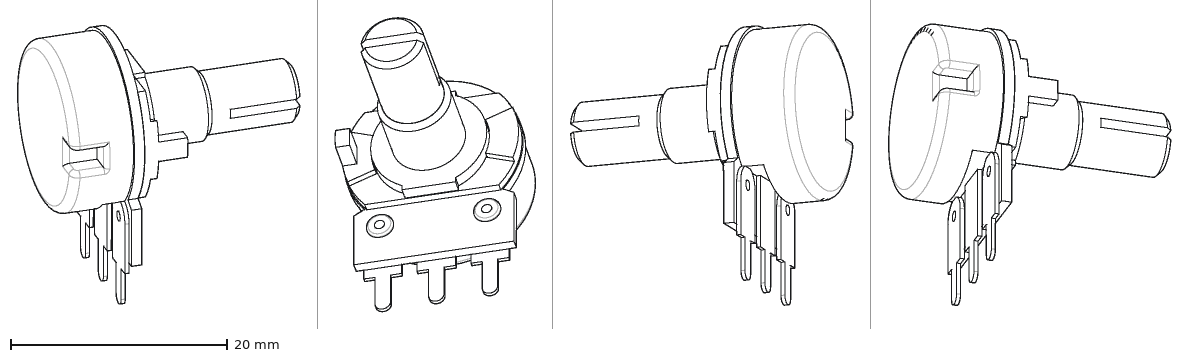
import cadquery as cq
import math


wafer_diameter = 17.0
wafer_radius = wafer_diameter / 2
wafer_thickness = 1.0
tab_half_width = 7.6
tab_bottom_z = -11.77
tab_shoulder_z = -5.97
tab_shoulder_angle = 30.0

cap_radius = 8.2
cap_depth = 5.97
cap_rim_fillet = 0.8
cap_relief_depth = 2.15
cap_relief_z = -6.0

notch_width = 2.12
notch_inner_x = 5.9
notch_depth = 3.2
notch_edge_fillet = 0.48
edge_margin = 0.25

plate_radius = 8.4
plate_thickness = 0.78
plate_half_height = 5.47
pad_inner_radius = 5.62
pad_side_angle = 20.8
pad_height = 1.4
lug_inner_x = 6.98
lug_width = 2.02
lug_height = 4.23

boss_radius = 5.52
boss_height = 2.05
key_width = 5.1
key_half_height = 5.4

bushing_radius = 3.5
bushing_length = 6.4
bushing_chamfer = 0.53
shaft_radius = 3.0
shaft_length = 8.77
shaft_chamfer = 0.5
slot_width = 0.93
slot_length = 6.98

terminal_pitch = 5.1
terminal_thickness = 0.4
side_blade_width = 3.6
middle_blade_width = 3.68
blade_bottom_z = -12.8
prong_width = 1.49
overall_height = 25.2
prong_tip_z = wafer_radius - overall_height
rivet_z = -7.69
rivet_radius = 1.29
rivet_height = 0.3
rivet_fillet = 0.2
rivet_hole_diameter = 0.95

wafer_back = wafer_thickness
plate_back = wafer_back + plate_thickness
boss_back = wafer_back + boss_height
bushing_end = boss_back + bushing_length
shaft_end = bushing_end + shaft_length


def section(y):
    """Workplane parallel to XZ at the given y; extrusions run toward +Y."""
    return cq.Workplane(cq.Plane(origin=(0, y, 0), xDir=(-1, 0, 0), normal=(0, 1, 0)))


def cylinder(radius, y_start, y_end, x=0, z=0):
    return section(y_start).center(-x, z).circle(radius).extrude(y_end - y_start)


def block(x_start, x_end, y_start, y_end, z_start, z_end):
    size = (x_end - x_start, y_end - y_start, z_end - z_start)
    return cq.Workplane("XY").box(*size, centered=False).translate((x_start, y_start, z_start))


def centred_block(width, y_start, y_end, height):
    """Block centred on the shaft axis."""
    return block(-width / 2, width / 2, y_start, y_end, -height / 2, height / 2)


def make_wafer():
    disc = cylinder(wafer_radius, 0, wafer_back)
    slope = math.tan(math.radians(tab_shoulder_angle))
    peak_z = tab_shoulder_z + tab_half_width * slope
    tab = (
        section(0)
        .moveTo(-tab_half_width, tab_bottom_z)
        .lineTo(tab_half_width, tab_bottom_z)
        .lineTo(tab_half_width, tab_shoulder_z)
        .lineTo(0, peak_z)
        .lineTo(-tab_half_width, tab_shoulder_z)
        .close()
        .extrude(wafer_thickness)
    )
    return disc.union(tab)


def make_cap():
    cap = cylinder(cap_radius, -cap_depth, 0).faces("<Y").edges().fillet(cap_rim_fillet)
    floor_y = notch_depth - cap_depth
    notch = block(
        notch_inner_x, 2 * cap_radius, -2 * cap_depth, floor_y, -notch_width / 2, notch_width / 2
    )
    cap = cap.cut(notch)
    front_edges = cq.selectors.BoxSelector(
        (notch_inner_x - edge_margin, -cap_depth - edge_margin, -notch_width),
        (cap_radius, -cap_depth + edge_margin, notch_width),
    )
    rim_edges = cq.selectors.BoxSelector(
        (cap_radius - cap_rim_fillet, -cap_depth, -notch_width),
        (cap_radius + edge_margin, floor_y + edge_margin, notch_width),
    )
    cap = cap.edges(front_edges + rim_edges).fillet(notch_edge_fillet)
    relief = block(-cap_radius, cap_radius, -cap_relief_depth, 0, -cap_radius, cap_relief_z)
    return cap.cut(relief)


def make_pad_sectors():
    """Two opposite sectors with radial sides, reaching out to the rim of the plate."""
    side_z = plate_radius * math.tan(math.radians(pad_side_angle))
    return (
        section(wafer_back)
        .polyline([(0, 0), (plate_radius, side_z), (plate_radius, -side_z)])
        .close()
        .polyline([(0, 0), (-plate_radius, side_z), (-plate_radius, -side_z)])
        .close()
        .extrude(pad_height)
    )


def make_mounting_plate():
    disc = cylinder(plate_radius, wafer_back, wafer_back + lug_height)
    full_width = 2 * plate_radius
    plate = centred_block(full_width, wafer_back, plate_back, 2 * plate_half_height)
    pads = make_pad_sectors().cut(cylinder(pad_inner_radius, plate_back, boss_back))
    lug = block(
        lug_inner_x, plate_radius, wafer_back, wafer_back + lug_height, -lug_width / 2, lug_width / 2
    )
    return plate.union(pads).union(lug).intersect(disc)


def make_boss():
    keys = centred_block(key_width, wafer_back, boss_back, 2 * key_half_height)
    rim_flat = math.sqrt(boss_radius**2 - (key_width / 2) ** 2)
    disc = cylinder(boss_radius, wafer_back, boss_back)
    disc = disc.intersect(centred_block(2 * boss_radius, wafer_back, boss_back, 2 * rim_flat))
    return disc.union(keys)


def make_shaft():
    bushing = cylinder(bushing_radius, boss_back, bushing_end).faces(">Y").chamfer(bushing_chamfer)
    shaft = cylinder(shaft_radius, bushing_end, shaft_end).faces(">Y").chamfer(shaft_chamfer)
    slot = centred_block(2 * shaft_radius, shaft_end - slot_length, shaft_end, slot_width)
    return bushing.union(shaft.cut(slot))


def make_terminal(x, blade_width, blade_top_z):
    """Flat blade with a narrower round-ended prong below it."""
    front = -terminal_thickness
    blade = block(x - blade_width / 2, x + blade_width / 2, front, 0, blade_bottom_z, blade_top_z)
    tip_radius = prong_width / 2
    tip_z = prong_tip_z + tip_radius
    prong = block(x - tip_radius, x + tip_radius, front, 0, tip_z, blade_bottom_z)
    tip = cylinder(tip_radius, front, 0, x, tip_z)
    return blade.union(prong).union(tip)


def make_side_terminal(x):
    """Terminal whose rounded upper end is concentric with its rivet."""
    terminal = make_terminal(x, side_blade_width, rivet_z)
    upper_end = cylinder(side_blade_width / 2, -terminal_thickness, 0, x, rivet_z)
    rivet_back = wafer_back + rivet_height
    rivet = cylinder(rivet_radius, wafer_back, rivet_back, x, rivet_z)
    rivet = rivet.faces(">Y").edges().fillet(rivet_fillet)
    return terminal.union(upper_end).union(rivet)


def make_rivet_hole(x):
    hole_end = wafer_back + rivet_height
    return cylinder(rivet_hole_diameter / 2, -terminal_thickness, hole_end, x, rivet_z)


result = make_wafer().union(make_cap()).union(make_mounting_plate())
result = result.union(make_boss()).union(make_shaft())
result = result.union(make_terminal(0, middle_blade_width, cap_relief_z))
for side_x in (-terminal_pitch, terminal_pitch):
    result = result.union(make_side_terminal(side_x)).cut(make_rivet_hole(side_x))